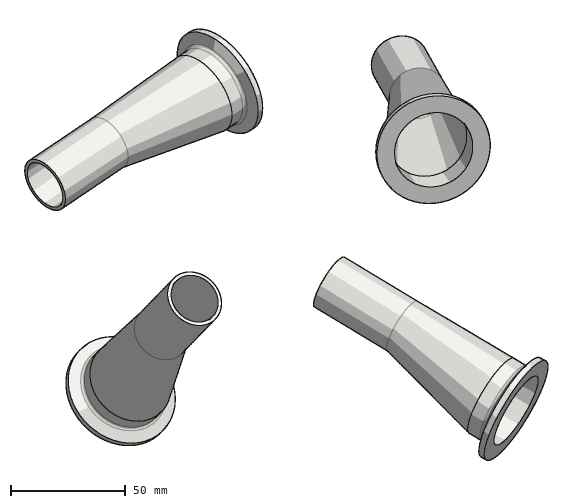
import cadquery as cq
import math

large_tube_diameter = 38.1
small_tube_diameter = 25.4
wall = 1.65

ferrule_length = 12.7
flange_diameter = 50.4
flange_rim_thickness = 2.85
flange_back_angle = 20.0
flange_root_fillet = 1.65
root_search = 0.1

cone_length = 50.8
tail_length = 38.1
tail_axis_x = -(large_tube_diameter - small_tube_diameter) / 2

cone_start_y = -ferrule_length
cone_end_y = cone_start_y - cone_length


def disc_plane(axis_x, y):
    """Plane square to the Y axis, facing -Y, centred on the given axis."""
    return cq.Workplane(cq.Plane(origin=(axis_x, y, 0), xDir=(1, 0, 0), normal=(0, -1, 0)))


def make_ferrule():
    """Short tube with a flange whose back face slopes down to a filleted root."""
    outer_radius = large_tube_diameter / 2
    bore_radius = outer_radius - wall
    flange_radius = flange_diameter / 2
    slope_height = (flange_radius - outer_radius) * math.tan(math.radians(flange_back_angle))
    root_y = -(flange_rim_thickness + slope_height)

    half_section = (
        cq.Workplane("XY")
        .moveTo(bore_radius, 0)
        .lineTo(flange_radius, 0)
        .lineTo(flange_radius, -flange_rim_thickness)
        .lineTo(outer_radius, root_y)
        .lineTo(outer_radius, -ferrule_length)
        .lineTo(bore_radius, -ferrule_length)
        .close()
    )
    body = half_section.revolve(360, (0, 0, 0), (0, 1, 0))
    root_edge = cq.selectors.BoxSelector(
        (-root_search, root_y - root_search, -root_search),
        (root_search, root_y + root_search, root_search),
    )
    return body.edges("%CIRCLE").edges(root_edge).fillet(flange_root_fillet).solids()


def reducer_form(inset):
    """Solid outline of the reducer with both of its radii reduced by the inset."""
    large_radius = large_tube_diameter / 2 - inset
    small_radius = small_tube_diameter / 2 - inset
    cone = (
        disc_plane(0, cone_start_y)
        .circle(large_radius)
        .workplane(offset=cone_length)
        .center(tail_axis_x, 0)
        .circle(small_radius)
        .loft(ruled=True)
    )
    tail = disc_plane(tail_axis_x, cone_end_y).circle(small_radius).extrude(tail_length)
    return cone.union(tail)


def make_reducer():
    """Thin-walled eccentric reducer that butts against the end of the ferrule."""
    return reducer_form(0).cut(reducer_form(wall)).solids()


ferrule = make_ferrule()
reducer = make_reducer()
result = cq.Compound.makeCompound([ferrule.val(), reducer.val()])